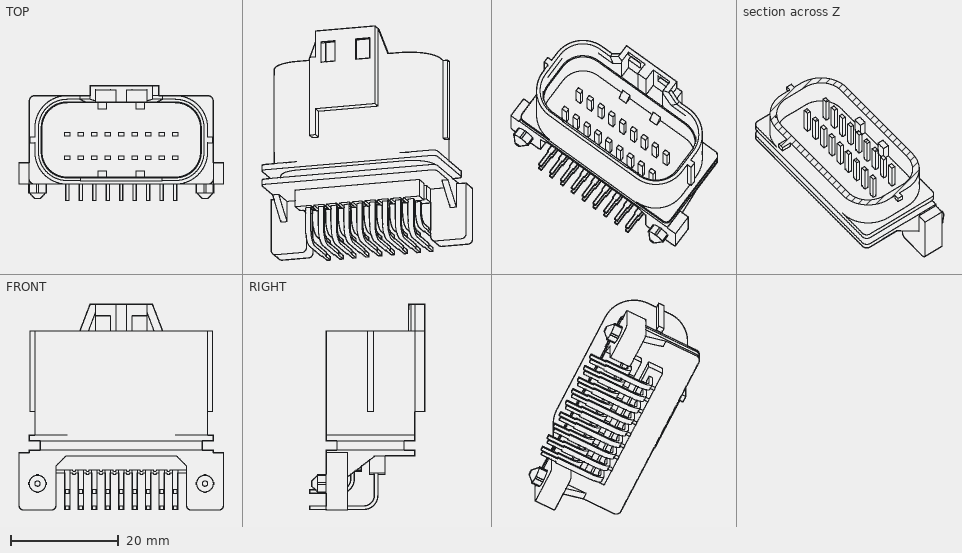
import cadquery as cq
import math


HOUSING_X = 32.1
HOUSING_Y = 16.45
HOUSING_R = 6.0
HOUSING_TOP = 33.3
MOUTH_WALL = 0.67
LEAD_IN = 0.5
LEAD_IN_DEPTH = 1.5
WALL = MOUTH_WALL + LEAD_IN
LEDGE_STEP = 0.15
LEDGE_DEPTH = 0.4
LEDGE_Z = 25.75
FRONT_THINNING = 0.1
FRONT_THINNING_X = 15.1

FLANGE_X = 34.2
FLANGE_R = 1.0
FLANGE_T = 1.05
UPPER_FLANGE_Z = 12.9
LOWER_FLANGE_Z = 10.1
LOWER_FLANGE_TOP = LOWER_FLANGE_Z + FLANGE_T
DECK_Z = UPPER_FLANGE_Z + FLANGE_T
NECK_X = 30.1
NECK_Y = 12.5
NECK_R = 4.55

RIB_BOTTOM = 18.3
SIDE_RIB_X = 33.9
SIDE_RIB_T = 1.1
BACK_RIB_X0 = 5.8
BACK_RIB_X1 = 7.0

TOWER_TOP = 38.3
TOWER_BACK_Y = 10.1
TOWER_TOP_HALF = 5.8
TOWER_BASE_HALF = 7.7
BACK_PLATE_BOTTOM = 23.3
BACK_PLATE_T = 0.8
POST_HALF = 0.95
POCKET_X1 = 4.75
WINDOW_X0 = 2.0
WINDOW_TOP = 36.1
WINDOW_BOTTOM = 32.2

KEY_CENTRE_X = 3.52
KEY_W = 1.65
KEY_REACH = 1.15
KEY_H = 3.0

LEG_X0 = 12.1
LEG_X1 = 19.0
LEG_T = 4.0
LEG_TOP = 10.7
LEG_FILLET = 0.9
OPENING_CHAMFER = 1.85
GUSSET_T = 1.2
GUSSET_BACK_Y = 0.88
GUSSET_LOW_Z = 6.2

PEG_X = 15.55
PEG_Z = 4.95
PEG_R = 1.55
PEG_RIB_R = 1.7
PEG_RIB_W = 0.4
PEG_LENGTH = 2.7
PEG_CONE = 1.1
PEG_TIP_R = 0.5

PIN_COUNT = 9
PIN_PITCH = 2.5
PIN_W = 1.0
PIN_T = 0.7
PIN_TIP_W = 0.64
PIN_BEND_R = 2.65
PIN_TIP_Y = -11.3
TAB_TOP = 22.0

CONTACT_ROWS = ((1.05, 0.12, 6.9), (-3.33, 3.15, 7.5))
BLOCK_Y_OFFSET = 0.2
BLOCK_T = 2.9
BUMP_R = 0.3

FRONT_Y = -HOUSING_Y / 2
BACK_Y = HOUSING_Y / 2
MOUTH_Y = BACK_Y - MOUTH_WALL
INNER_Y = BACK_Y - WALL
LEAD_IN_Z = HOUSING_TOP - LEAD_IN_DEPTH


def box(x0, x1, y0, y1, z0, z1):
    return cq.Workplane("XY").box(x1 - x0, y1 - y0, z1 - z0, centered=False).translate((x0, y0, z0))


def rounded_block(size_x, size_y, radius, z0, z1):
    block = cq.Workplane("XY").workplane(offset=z0).rect(size_x, size_y).extrude(z1 - z0)
    return block.edges("|Z").fillet(radius)


def inset_block(inset, z0, z1):
    """Housing outline moved inward by a wall thickness."""
    return rounded_block(HOUSING_X - 2 * inset, HOUSING_Y - 2 * inset, HOUSING_R - inset, z0, z1)


def narrowing_block(inset, run, z_top, depth):
    """Housing outline at one inset, tapering inward by run as it goes down."""
    outline = inset_block(inset, z_top - depth, z_top).faces(">Z").wires().val()
    angle = math.degrees(math.atan2(run, depth))
    plane = cq.Workplane("XY").workplane(offset=z_top)
    return plane.add(outline).toPending().extrude(-depth, taper=angle)


def front_relief():
    """Slightly deeper lead-in along the middle of the front wall."""
    points = [
        (-INNER_Y, LEAD_IN_Z),
        (-MOUTH_Y - FRONT_THINNING, HOUSING_TOP),
        (-INNER_Y, HOUSING_TOP),
    ]
    half = FRONT_THINNING_X / 2
    return cq.Workplane("YZ").workplane(offset=-half).polyline(points).close().extrude(2 * half)


def housing():
    body = inset_block(0, UPPER_FLANGE_Z, HOUSING_TOP)
    body = body.cut(inset_block(WALL, LEDGE_Z, HOUSING_TOP))
    body = body.cut(inset_block(WALL + LEDGE_STEP, DECK_Z, LEDGE_Z))
    body = body.cut(narrowing_block(WALL, LEDGE_STEP, LEDGE_Z, LEDGE_DEPTH))
    body = body.cut(narrowing_block(MOUTH_WALL, LEAD_IN, HOUSING_TOP, LEAD_IN_DEPTH))
    return body.cut(front_relief())


def base():
    upper = rounded_block(FLANGE_X, HOUSING_Y, FLANGE_R, UPPER_FLANGE_Z, DECK_Z)
    neck = rounded_block(NECK_X, NECK_Y, NECK_R, LOWER_FLANGE_Z, DECK_Z)
    half = FLANGE_X / 2
    lower = box(-half, half, FRONT_Y, BACK_Y, LOWER_FLANGE_Z, LOWER_FLANGE_TOP)
    lower = lower.edges("|Z and >Y").fillet(FLANGE_R)
    return upper.union(neck).union(lower)


def outer_ribs():
    half = SIDE_RIB_X / 2
    sides = box(-half, half, -SIDE_RIB_T / 2, SIDE_RIB_T / 2, RIB_BOTTOM, HOUSING_TOP)
    sides = sides.cut(inset_block(MOUTH_WALL / 2, RIB_BOTTOM, HOUSING_TOP))
    back = box(BACK_RIB_X0, BACK_RIB_X1, MOUTH_Y, TOWER_BACK_Y, RIB_BOTTOM, HOUSING_TOP)
    return sides.union(back)


def tower_outline(y, inset):
    """Trapezoid of the tower arms at one Y, its slopes moved inward by inset."""
    slope = (TOWER_BASE_HALF - TOWER_TOP_HALF) / (TOWER_TOP - HOUSING_TOP)
    top = TOWER_TOP_HALF - inset
    low = top + slope * (TOWER_TOP - LEAD_IN_Z)
    points = [(-low, LEAD_IN_Z), (low, LEAD_IN_Z), (top, TOWER_TOP), (-top, TOWER_TOP)]
    return cq.Workplane("XZ", origin=(0, y, 0)).polyline(points).close()


def latch_tower():
    """Arms in the plane of the back wall, with chamfered inner edges, and a plate behind them."""
    slope_angle = math.atan2(TOWER_BASE_HALF - TOWER_TOP_HALF, TOWER_TOP - HOUSING_TOP)
    chamfer_inset = LEAD_IN_DEPTH / math.cos(slope_angle)
    arms = tower_outline(BACK_Y, 0).extrude(MOUTH_WALL)
    inner_wire = tower_outline(INNER_Y, chamfer_inset).wires().val()
    outer_wire = tower_outline(MOUTH_Y, 0).wires().val()
    chamfered = cq.Workplane(cq.Solid.makeLoft([outer_wire, inner_wire], True))
    plate = box(-TOWER_TOP_HALF, TOWER_TOP_HALF, MOUTH_Y, TOWER_BACK_Y, BACK_PLATE_BOTTOM, TOWER_TOP)
    post = box(-POST_HALF, POST_HALF, INNER_Y, BACK_Y, LEDGE_Z, TOWER_TOP)
    return arms.union(chamfered).union(plate).union(post)


def latch_openings():
    """Pocket on each side of the post and the window through the plate behind it."""
    pocket_back = TOWER_BACK_Y - BACK_PLATE_T
    pocket = box(POST_HALF, POCKET_X1, INNER_Y, pocket_back, LEDGE_Z, TOWER_TOP)
    window = box(WINDOW_X0, POCKET_X1, INNER_Y, TOWER_BACK_Y, WINDOW_BOTTOM, WINDOW_TOP)
    right = pocket.union(window)
    return right.union(right.mirror("YZ"))


def inner_keys():
    """Sloped keys on the back wall and square keys on the front wall."""
    wall_y = INNER_Y
    tip_y = INNER_Y - LEDGE_STEP - KEY_REACH
    top = DECK_Z + KEY_H
    ramp = [(wall_y, DECK_Z), (tip_y, DECK_Z), (wall_y, top)]
    keys = cq.Workplane("XY")
    for x in (-KEY_CENTRE_X, KEY_CENTRE_X):
        x0 = x - KEY_W / 2
        sloped_key = cq.Workplane("YZ").workplane(offset=x0).polyline(ramp).close().extrude(KEY_W)
        keys = keys.union(sloped_key)
        keys = keys.union(box(x0, x0 + KEY_W, -wall_y, -tip_y, DECK_Z, top))
    return keys


def right_leg():
    back_y = FRONT_Y + LEG_T
    flange_edge = FLANGE_X / 2
    leg = box(LEG_X0, LEG_X1, FRONT_Y, back_y, 0, LEG_TOP)
    leg = leg.edges("|Y and <Z").fillet(LEG_FILLET)
    corner = [
        (LEG_X0, LOWER_FLANGE_Z),
        (LEG_X0 - OPENING_CHAMFER, LOWER_FLANGE_Z),
        (LEG_X0, LOWER_FLANGE_Z - OPENING_CHAMFER),
    ]
    brace = cq.Workplane("XZ", origin=(0, back_y, 0)).polyline(corner).close().extrude(LEG_T)
    side = [(back_y, LOWER_FLANGE_Z), (GUSSET_BACK_Y, LOWER_FLANGE_Z), (back_y, GUSSET_LOW_Z)]
    gusset_plane = cq.Workplane("YZ").workplane(offset=flange_edge - GUSSET_T)
    gusset = gusset_plane.polyline(side).close().extrude(GUSSET_T)
    return leg.union(brace).union(gusset)


def right_peg():
    """Cone-tipped locating peg with four crush ribs."""
    shank = PEG_LENGTH - PEG_CONE
    profile = [(0, 0), (PEG_R, 0), (PEG_R, shank), (PEG_TIP_R, PEG_LENGTH), (0, PEG_LENGTH)]
    peg = cq.Workplane("XY").polyline(profile).close().revolve(360, (0, 0), (0, 1))
    ribs = box(-PEG_RIB_R, PEG_RIB_R, 0, shank, -PEG_RIB_W / 2, PEG_RIB_W / 2)
    ribs = ribs.union(ribs.rotate((0, 0, 0), (0, 1, 0), 90))
    return peg.union(ribs).rotate((0, 0, 0), (0, 0, 1), 180).translate((PEG_X, FRONT_Y, PEG_Z))


def mounting():
    right = right_leg().union(right_peg())
    return right.union(right.mirror("YZ"))


def pin(row_y, pin_z):
    """Right-angle contact: upright tab, bend, horizontal tail and narrow tip."""
    back = row_y + PIN_T / 2
    front = back - PIN_T
    top = pin_z + PIN_T
    bend_z = pin_z + PIN_BEND_R
    bend_y = back - PIN_BEND_R
    inner_r = PIN_BEND_R - PIN_T
    diagonal = math.sqrt(0.5)
    outer_mid = (bend_y + PIN_BEND_R * diagonal, bend_z - PIN_BEND_R * diagonal)
    inner_mid = (bend_y + inner_r * diagonal, bend_z - inner_r * diagonal)
    outline = (
        cq.Workplane("YZ").workplane(offset=-PIN_W / 2)
        .moveTo(back, TAB_TOP)
        .lineTo(back, bend_z)
        .threePointArc(outer_mid, (bend_y, pin_z))
        .lineTo(FRONT_Y, pin_z)
        .lineTo(FRONT_Y, top)
        .lineTo(bend_y, top)
        .threePointArc(inner_mid, (front, bend_z))
        .lineTo(front, TAB_TOP)
        .close()
    )
    tip = box(-PIN_TIP_W / 2, PIN_TIP_W / 2, PIN_TIP_Y, FRONT_Y, pin_z, top)
    return outline.extrude(PIN_W).union(tip)


def contact_row(row_y, pin_z, block_z):
    """Support block, the bumps between its pins, and the pins."""
    y0 = row_y + BLOCK_Y_OFFSET - BLOCK_T / 2
    y1 = y0 + BLOCK_T
    row = box(-LEG_X0, LEG_X0, y0, y1, block_z, LOWER_FLANGE_TOP)
    first_x = -PIN_PITCH * (PIN_COUNT - 1) / 2
    one_pin = pin(row_y, pin_z)
    for i in range(PIN_COUNT):
        row = row.union(one_pin.translate((first_x + i * PIN_PITCH, 0, 0)))
    for i in range(PIN_COUNT - 1):
        x = first_x + (i + 0.5) * PIN_PITCH
        bump = cq.Workplane("XZ", origin=(x, y1, block_z)).circle(BUMP_R).extrude(BLOCK_T)
        row = row.union(bump)
    return row


result = housing().union(base()).union(outer_ribs()).union(latch_tower()).cut(latch_openings())
result = result.union(inner_keys()).union(mounting())
for row_y, pin_z, block_z in CONTACT_ROWS:
    result = result.union(contact_row(row_y, pin_z, block_z))